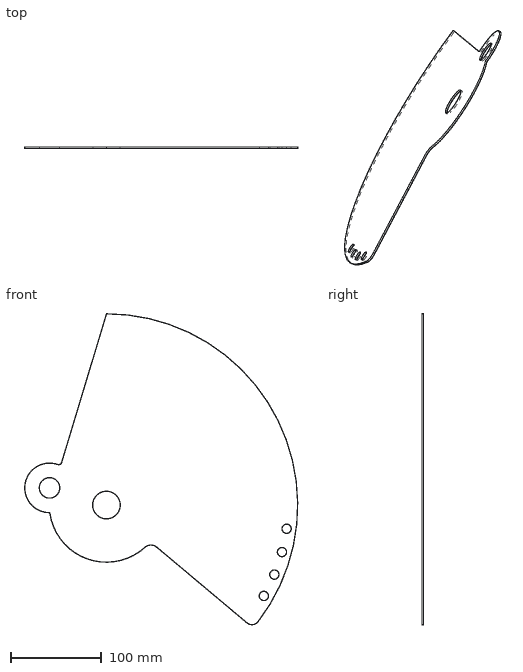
import cadquery as cq
import math

thickness = 2.0

sector_radius = 210.5
left_edge_tilt = 16.8
lower_edge_angle = -40
edge_offset = sector_radius * math.sin(math.radians(left_edge_tilt))
tip_fillet = 8.5

hub_radius = 63.0
pivot_hole_diameter = 30.0
hub_fillet = 10.0

lug_distance = 65.5
lug_angle = 180 - left_edge_tilt
lug_radius = 27.5
lug_hole_diameter = 22.3
lug_edge_fillet = 3.0
lug_hub_fillet = 1.0

rim_hole_count = 4
rim_hole_diameter = 10.0
rim_hole_radius = 200.0
rim_hole_step = 7.5


def polar(radius, angle):
    """XZ point at a radius and an angle in degrees about the pivot."""
    a = math.radians(angle)
    return (radius * math.cos(a), radius * math.sin(a))


def plate_sketch():
    return cq.Workplane("XZ")


def disc(center, radius):
    return plate_sketch().center(*center).circle(radius).extrude(-thickness)


def sector():
    edge_foot = polar(edge_offset, lug_angle)
    return (
        plate_sketch()
        .lineTo(*polar(sector_radius, lower_edge_angle))
        .threePointArc(
            polar(sector_radius, (lower_edge_angle + 90) / 2),
            polar(sector_radius, 90),
        )
        .lineTo(*edge_foot)
        .close()
        .extrude(-thickness)
    )


def circle_meeting(distance, radius_a, radius_b):
    """Angle at circle A's centre between the centre line and where circle B crosses it."""
    cosine = (distance**2 + radius_a**2 - radius_b**2) / (2 * distance * radius_a)
    return math.degrees(math.acos(cosine))


def round_corner(body, corner, radius):
    """Round the through-thickness edge nearest to an XZ corner point."""
    x, z = corner
    nearest = cq.selectors.NearestToPointSelector((x, thickness / 2, z))
    return body.edges("|Y").edges(nearest).fillet(radius)


lug_center = polar(lug_distance, lug_angle)
plate = sector().union(disc((0, 0), hub_radius)).union(disc(lug_center, lug_radius))

lug_rise = math.sqrt(lug_radius**2 - (lug_distance - edge_offset) ** 2)
lug_edge_corner = polar(
    math.hypot(edge_offset, lug_rise),
    lug_angle - math.degrees(math.atan2(lug_rise, edge_offset)),
)
lug_hub_angle = lug_angle + circle_meeting(lug_distance, hub_radius, lug_radius)

plate = round_corner(plate, polar(sector_radius, lower_edge_angle), tip_fillet)
plate = round_corner(plate, polar(hub_radius, lower_edge_angle), hub_fillet)
plate = round_corner(plate, lug_edge_corner, lug_edge_fillet)
plate = round_corner(plate, polar(hub_radius, lug_hub_angle), lug_hub_fillet)

plate = plate.cut(disc((0, 0), pivot_hole_diameter / 2))
plate = plate.cut(disc(lug_center, lug_hole_diameter / 2))
for i in range(1, rim_hole_count + 1):
    hole_center = polar(rim_hole_radius, -i * rim_hole_step)
    plate = plate.cut(disc(hole_center, rim_hole_diameter / 2))

result = plate